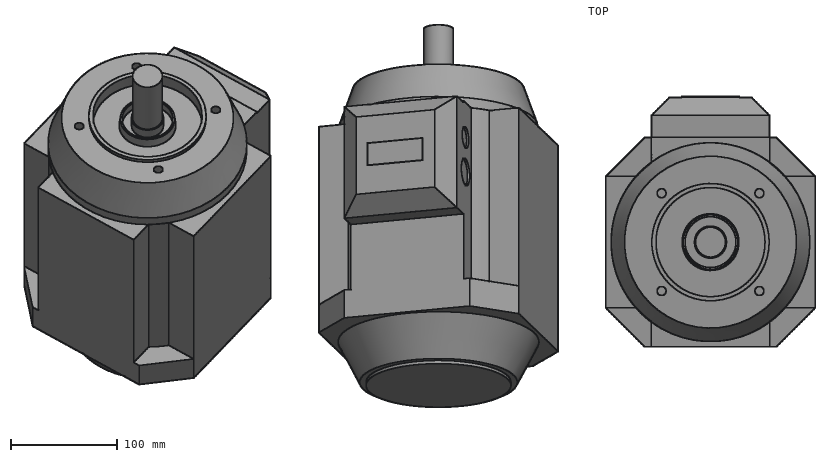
import cadquery as cq


cover_lip_top = 3.0
body_bottom = 42.8
groove_bottom = 70.2
body_top = 245.7
flange_rim_top = 255.2
flange_face = 291.0
spigot_height = 3.5
shaft_tip = 351.0

overall_depth = 235.5
body_width = 197.0
end_plate_half_width = 61.8
face_plate_half_width = 55.5
stator_radius = 93.0

cover_top_radius = 94.5
cover_bottom_radius = 74.0
cover_lip_radius = 68.0

flange_radius = 93.5
flange_face_radius = 80.7
spigot_radius = 55.0
recess_radius = 51.2
recess_depth = 14.0
bolt_circle_radius = 65.0
bolt_hole_diameter = 8.5
bolt_hole_depth = 14.0

shaft_radius = 14.0
collar_radius = 15.0
collar_height = 10.5
hub_bottom_radius = 26.7
hub_top_radius = 25.5
hub_bore_radius = 24.0
hub_height = 9.0

box_bottom = 134.0
box_top = 244.0
box_back = 136.0
box_chamfer = 17.0
nameplate_width = 54.0
nameplate_bottom = 178.3
nameplate_top = 200.0
cable_entry_y = 92.3
cable_entry_depth = 2.0
cable_entries = [(211.3, 10.2), (177.3, 13.0)]

half_body = body_width / 2
corner_chamfer = half_body - end_plate_half_width
nameplate_back = overall_depth - half_body
spigot_top = flange_face + spigot_height
recess_floor = spigot_top - recess_depth


def cylinder(radius, bottom, top):
    return cq.Workplane("XY").workplane(offset=bottom).circle(radius).extrude(top - bottom)


def block(x_size, y_size, bottom, top):
    return cq.Workplane("XY").workplane(offset=bottom).rect(x_size, y_size).extrude(top - bottom)


def make_body():
    """Chamfered square base below a round stator clad by crossed rectangular plates."""
    base = block(body_width, body_width, body_bottom, groove_bottom)
    base = base.edges("|Z").chamfer(corner_chamfer)
    stator = cylinder(stator_radius, groove_bottom, body_top)
    face_plates = block(2 * face_plate_half_width, body_width, groove_bottom, body_top)
    end_plates = block(body_width, 2 * end_plate_half_width, groove_bottom, body_top)
    return base.union(stator).union(face_plates).union(end_plates)


def make_turned_parts():
    """Fan cover, flange, spigot, bearing hub and shaft as one revolved profile."""
    profile = [
        (0, 0),
        (cover_lip_radius, 0),
        (cover_lip_radius, cover_lip_top),
        (cover_bottom_radius, cover_lip_top),
        (cover_top_radius, body_bottom),
        (stator_radius, body_bottom),
        (stator_radius, body_top),
        (flange_radius, body_top),
        (flange_radius, flange_rim_top),
        (flange_face_radius, flange_face),
        (spigot_radius, flange_face),
        (spigot_radius, spigot_top),
        (recess_radius, spigot_top),
        (recess_radius, recess_floor),
        (hub_bottom_radius, recess_floor),
        (hub_top_radius, recess_floor + hub_height),
        (hub_bore_radius, recess_floor + hub_height),
        (hub_bore_radius, recess_floor),
        (collar_radius, recess_floor),
        (collar_radius, recess_floor + collar_height),
        (shaft_radius, recess_floor + collar_height),
        (shaft_radius, shaft_tip),
        (0, shaft_tip),
    ]
    return cq.Workplane("XZ").polyline(profile).close().revolve(360, (0, 0, 0), (0, 1, 0))


def make_bolt_holes():
    """Four blind holes in the flange face, on the diagonals."""
    return (
        cq.Workplane("XY")
        .workplane(offset=flange_face)
        .polarArray(bolt_circle_radius, 45, 360, 4)
        .circle(bolt_hole_diameter / 2)
        .extrude(-bolt_hole_depth)
    )


def make_terminal_box():
    """Box with a bevelled lid and a thin nameplate, reaching in to the shaft axis."""
    box = block(2 * face_plate_half_width, box_back, box_bottom, box_top)
    box = box.translate((0, box_back / 2, 0)).faces(">Y").chamfer(box_chamfer)
    nameplate = block(nameplate_width, nameplate_back, nameplate_bottom, nameplate_top)
    return box.union(nameplate.translate((0, nameplate_back / 2, 0)))


def make_cable_entry(height, radius):
    """Shallow round recess in the -X side of the terminal box."""
    return (
        cq.Workplane("YZ")
        .workplane(offset=-face_plate_half_width)
        .center(cable_entry_y, height)
        .circle(radius)
        .extrude(cable_entry_depth)
    )


result = make_body().union(make_turned_parts()).union(make_terminal_box())
result = result.cut(make_bolt_holes())
for entry_height, entry_radius in cable_entries:
    result = result.cut(make_cable_entry(entry_height, entry_radius))